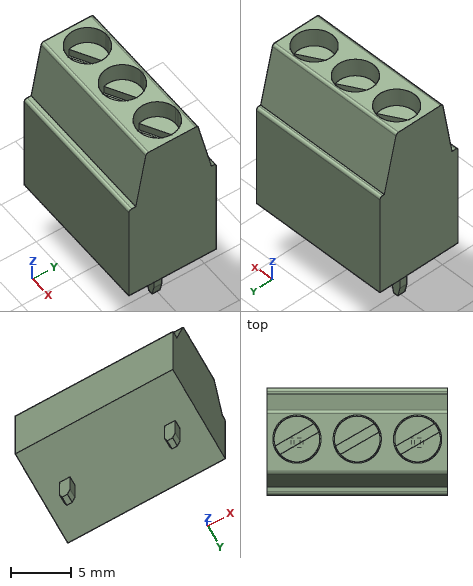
import cadquery as cq
import math

pitch = 5.0
pole_count = 3
length = 15.0
depth = 8.9
overall_height = 21.3
pin_length = 4.5
body_height = overall_height - pin_length
tower_height = 6.0
shoulder_z = body_height - tower_height
tower_front_y = -3.75
tower_back_y = 3.96
front_slope = math.radians(10)
back_slope = math.radians(13)
edge_radius = 0.3

screw_y = 0.21
bore_diameter = 4.0
screw_diameter = 3.8
screw_recess = 1.77
head_gap_depth = 1.2
bore_flat_width = 0.35
slot_width = 0.8
slot_depth = 0.8
slot_angle = 30.0

pin_width = 1.0
pin_thickness = 0.8
pin_tip_width = 0.51
pin_tip_length = 1.02
pin_y = -0.09


def make_housing():
    """Stepped profile with a tapered tower, extruded along X."""
    top_front_y = tower_front_y + tower_height * math.tan(front_slope)
    top_back_y = tower_back_y - tower_height * math.tan(back_slope)
    shoulder_front = (-depth / 2, shoulder_z)
    shoulder_back = (depth / 2, shoulder_z)
    top_front = (top_front_y, body_height)
    top_back = (top_back_y, body_height)
    outline = [
        (-depth / 2, 0),
        shoulder_front,
        (tower_front_y, shoulder_z),
        top_front,
        top_back,
        (tower_back_y, shoulder_z),
        shoulder_back,
        (depth / 2, 0),
    ]
    housing = cq.Workplane("YZ").polyline(outline).close().extrude(length / 2, both=True)
    for y, z in (shoulder_front, top_front, top_back, shoulder_back):
        edge = cq.selectors.NearestToPointSelector((0, y, z))
        housing = housing.edges(edge).fillet(edge_radius)
    return housing


def make_screw_cavity(x):
    """Bore with a flat at its back, a ring around the screw head and the driver slot."""
    bore_radius = bore_diameter / 2
    half_flat = bore_flat_width / 2
    flat_y = math.sqrt(bore_radius**2 - half_flat**2)
    bore = (
        cq.Workplane("XY")
        .moveTo(-half_flat, flat_y)
        .lineTo(half_flat, flat_y)
        .threePointArc((0, -bore_radius), (-half_flat, flat_y))
        .close()
        .extrude(screw_recess + head_gap_depth)
    )
    slot = (
        cq.Workplane("XY", origin=(0, 0, head_gap_depth - slot_depth))
        .rect(bore_diameter, slot_width)
        .extrude(slot_depth)
        .rotate((0, 0, 0), (0, 0, 1), slot_angle)
    )
    head = cq.Workplane("XY").circle(screw_diameter / 2).extrude(head_gap_depth).cut(slot)
    floor_z = body_height - screw_recess - head_gap_depth
    return bore.cut(head).translate((x, screw_y, floor_z))


def make_pin(x):
    """Flat pin below the housing, narrowed at its tip."""
    taper_z = pin_tip_length - pin_length
    outline = [
        (-pin_width / 2, 0),
        (-pin_width / 2, taper_z),
        (-pin_tip_width / 2, -pin_length),
        (pin_tip_width / 2, -pin_length),
        (pin_width / 2, taper_z),
        (pin_width / 2, 0),
    ]
    return (
        cq.Workplane("XZ", origin=(x, pin_y, 0))
        .polyline(outline)
        .close()
        .extrude(pin_thickness / 2, both=True)
    )


outer_pole_x = pitch * (pole_count - 1) / 2
result = make_housing()
for pole in range(pole_count):
    result = result.cut(make_screw_cavity(pole * pitch - outer_pole_x))
for pin_x in (-outer_pole_x, outer_pole_x):
    result = result.union(make_pin(pin_x))